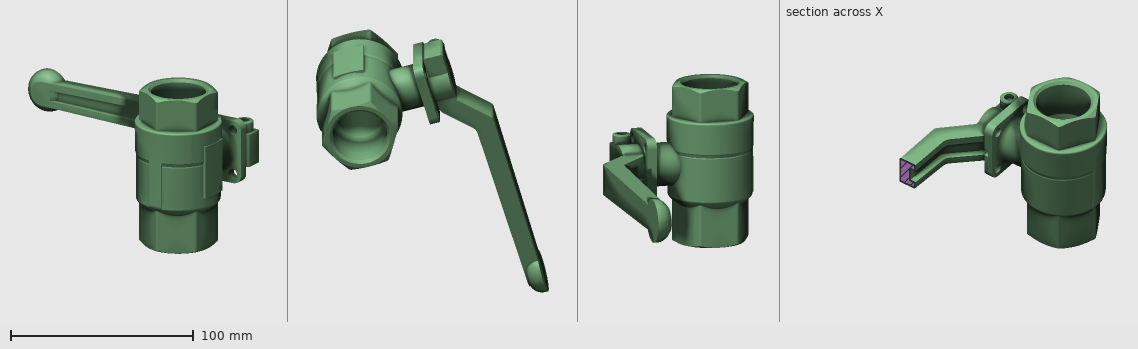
import cadquery as cq
import math


total_height = 89.0
half_height = total_height / 2
hex_across_flats = 38.0
hex_corner_radius = 2.0
hex_end_radius = 19.0
hex_chamfer_angle = 30.0

body_radius = 24.0
body_top_z = 26.5
body_top_round = 1.0
collar_bottom_radius = 23.7
collar_bottom_z = 9.0
barrel_radius = 23.25
barrel_top_z = 6.4
barrel_bottom_z = -18.4
barrel_round = 1.5
waist_top_radius = 23.45
waist_bottom_radius = 23.05
waist_bevel_height = 0.6

strip_width = 8.0
strip_foot_round = 2.5
pad_crown_x = 24.0
pad_edge_x = 23.3
pad_width = 17.0
pad_height = 30.0
pad_center_z = 2.7

bore_diameter = 25.0
thread_diameter = 30.29
thread_depth = 22.0
thread_mouth_diameter = 33.25
thread_end_angle = 30.0

neck_diameter = 24.0
flange_width = 36.0
flange_bottom_y = 35.2
flange_top_y = 40.5
flange_corner_radius = 5.0
flange_fillet = 2.5
bolt_circle_diameter = 36.0
bolt_hole_diameter = 5.5
notch_width = 4.5
notch_height = 2.4
notch_depth = 3.0

hub_diameter = 24.0
hub_bottom_y = 41.2
hub_top_y = 52.0
spacer_diameter = 23.5
clamp_end_x = 19.3
clamp_half_thickness = 9.4
clamp_chamfer = 0.8
screw_x = 12.9
screw_head_diameter = 10.0
screw_head_height = 6.0
screw_head_chamfer = 0.5
socket_diameter = 5.5
socket_depth = 3.0
socket_tip_depth = 1.6

lever_top_y = 68.3
knob_x = -128.0
knob_diameter = 24.0
knob_bottom_y = 59.2
knob_round = 7.5
bend_x = -30.6
bend_y = 57.6
slope_thickness = 10.6
lever_half_width_at_knob = 6.92
lever_half_width_at_hub = 9.0
under_bend_radius = 6.0
upper_bend_radius = 2.5
heel_radius = 7.5
pocket_start_x = -122.2
web_thickness = 6.8
pocket_half_width_at_knob = 2.92
pocket_half_width_at_hub = 4.9


def cylinder_along_y(diameter, start_y, end_y):
    """Solid cylinder around the stem axis."""
    base = cq.Workplane("XZ", origin=(0, start_y, 0))
    return base.circle(diameter / 2).extrude(start_y - end_y)


def hex_bar():
    """Full-height hexagon with flats facing +X and -X and chamfered ends."""
    across_corners = hex_across_flats / math.cos(math.radians(30))
    bar = (
        cq.Workplane("XY", origin=(0, 0, -half_height))
        .polygon(6, across_corners)
        .extrude(total_height)
        .rotate((0, 0, 0), (0, 0, 1), 30)
        .edges("|Z")
        .fillet(hex_corner_radius)
    )
    envelope_radius = across_corners / 2
    chamfer_drop = (envelope_radius - hex_end_radius) * math.tan(math.radians(hex_chamfer_angle))
    envelope = (
        cq.Workplane("XZ")
        .moveTo(0, -half_height)
        .lineTo(hex_end_radius, -half_height)
        .lineTo(envelope_radius, -half_height + chamfer_drop)
        .lineTo(envelope_radius, half_height - chamfer_drop)
        .lineTo(hex_end_radius, half_height)
        .lineTo(0, half_height)
        .close()
        .revolve(360, (0, 0, 0), (0, 1, 0))
    )
    return bar.intersect(envelope)


def barrel():
    """Lower cylinder with a 45 degree cone below it and a tapered waist above it."""
    return (
        cq.Workplane("XZ")
        .moveTo(0, barrel_bottom_z - barrel_radius)
        .lineTo(barrel_radius, barrel_bottom_z)
        .lineTo(barrel_radius, barrel_top_z)
        .lineTo(waist_bottom_radius, barrel_top_z + waist_bevel_height)
        .lineTo(waist_top_radius, collar_bottom_z - waist_bevel_height)
        .lineTo(collar_bottom_radius, collar_bottom_z)
        .lineTo(0, collar_bottom_z)
        .close()
        .revolve(360, (0, 0, 0), (0, 1, 0))
        .edges(cq.NearestToPointSelector((0, 0, barrel_bottom_z)))
        .fillet(barrel_round)
    )


def collar_and_strip():
    """Slightly hollow outer skin: a full ring above the waist and a strip down the -Y side."""
    foot_z = barrel_bottom_z + body_radius - barrel_radius
    skin = (
        cq.Workplane("XZ")
        .moveTo(0, foot_z - body_radius)
        .lineTo(body_radius, foot_z)
        .threePointArc((collar_bottom_radius, collar_bottom_z), (body_radius, body_top_z - body_top_round))
        .radiusArc((body_radius - body_top_round, body_top_z), -body_top_round)
        .lineTo(0, body_top_z)
        .close()
        .revolve(360, (0, 0, 0), (0, 1, 0))
        .edges(cq.NearestToPointSelector((0, 0, foot_z)))
        .fillet(strip_foot_round)
    )
    ring = cq.Workplane("XY", origin=(0, 0, collar_bottom_z)).circle(2 * body_radius).extrude(total_height)
    band = cq.Workplane("XY").box(strip_width, total_height, total_height)
    return skin.intersect(ring.union(band.translate((0, -half_height, 0))))


def side_pad():
    """Pad on the +X side with a gently crowned outer face."""
    half_width = pad_width / 2
    return (
        cq.Workplane("XY", origin=(0, 0, pad_center_z - pad_height / 2))
        .moveTo(0, -half_width)
        .lineTo(pad_edge_x, -half_width)
        .threePointArc((pad_crown_x, 0), (pad_edge_x, half_width))
        .lineTo(0, half_width)
        .close()
        .extrude(pad_height)
    )


def bore():
    """Through bore with a threaded socket at each end."""
    bore_radius = bore_diameter / 2
    thread_radius = thread_diameter / 2
    mouth_radius = thread_mouth_diameter / 2
    mouth_z = half_height - (mouth_radius - thread_radius)
    shoulder_height = (thread_radius - bore_radius) * math.tan(math.radians(thread_end_angle))
    thread_z = half_height - thread_depth
    half = (
        cq.Workplane("XZ")
        .lineTo(bore_radius, 0)
        .lineTo(bore_radius, thread_z - shoulder_height)
        .lineTo(thread_radius, thread_z)
        .lineTo(thread_radius, mouth_z)
        .lineTo(mouth_radius, half_height)
        .lineTo(0, half_height)
        .close()
        .revolve(360, (0, 0, 0), (0, 1, 0))
    )
    return half.union(half.mirror("XY"))


def flange():
    """Square mounting flange with rounded corners, four holes and a stop notch."""
    thickness = flange_top_y - flange_bottom_y
    hole_spacing = bolt_circle_diameter / math.sqrt(2)
    plate = (
        cq.Workplane("XZ", origin=(0, flange_bottom_y, 0))
        .rect(flange_width, flange_width)
        .extrude(-thickness)
        .edges("|Y")
        .fillet(flange_corner_radius)
    )
    holes = (
        cq.Workplane("XZ", origin=(0, flange_bottom_y, 0))
        .rect(hole_spacing, hole_spacing, forConstruction=True)
        .vertices()
        .circle(bolt_hole_diameter / 2)
        .extrude(-thickness)
    )
    notch = cq.Workplane("XY").box(notch_depth, notch_height, notch_width, centered=(False, False, True))
    notch = notch.translate((-flange_width / 2, flange_top_y - notch_height, 0))
    root_radius = neck_diameter / 2
    root = (
        cq.Workplane("XY")
        .moveTo(0, flange_bottom_y - flange_fillet)
        .lineTo(root_radius, flange_bottom_y - flange_fillet)
        .radiusArc((root_radius + flange_fillet, flange_bottom_y), flange_fillet)
        .lineTo(0, flange_bottom_y)
        .close()
        .revolve(360, (0, 0, 0), (0, 1, 0))
    )
    return plate.union(root).cut(holes).cut(notch)


def clamp():
    """Clamp block on the +X side of the hub with its socket head screw."""
    screw_y = (hub_bottom_y + hub_top_y) / 2
    block = (
        cq.Workplane("XY", origin=(0, 0, -clamp_half_thickness))
        .moveTo(0, hub_bottom_y)
        .lineTo(clamp_end_x, hub_bottom_y)
        .lineTo(clamp_end_x, hub_top_y)
        .lineTo(0, hub_top_y)
        .close()
        .extrude(2 * clamp_half_thickness)
        .edges("|Z and >X")
        .chamfer(clamp_chamfer)
    )
    head_top_z = clamp_half_thickness + screw_head_height
    head = (
        cq.Workplane("XY", origin=(screw_x, screw_y, clamp_half_thickness))
        .circle(screw_head_diameter / 2)
        .extrude(screw_head_height)
        .faces(">Z")
        .edges()
        .chamfer(screw_head_chamfer)
    )
    socket = (
        cq.Workplane("XZ")
        .lineTo(socket_diameter / 2, 0)
        .lineTo(socket_diameter / 2, -socket_depth)
        .lineTo(0, -socket_depth - socket_tip_depth)
        .close()
        .revolve(360, (0, 0, 0), (0, 1, 0))
        .translate((screw_x, screw_y, head_top_z))
    )
    return block.union(head).cut(socket)


def tapered_plan(half_width_at_knob, half_width_at_hub):
    """Tall block, narrower at the knob, that limits the lever or its pocket in Z."""
    height = lever_top_y - hub_bottom_y
    return (
        cq.Workplane("XZ", origin=(0, hub_bottom_y, 0))
        .moveTo(knob_x, -half_width_at_knob)
        .lineTo(0, -half_width_at_hub)
        .lineTo(0, half_width_at_hub)
        .lineTo(knob_x, half_width_at_knob)
        .close()
        .extrude(-height)
    )


def lever():
    """Cranked lever with a channel along its underside."""
    half_thickness = hub_diameter / 2
    lower_sum = bend_x + bend_y
    upper_sum = lower_sum + slope_thickness * math.sqrt(2)
    heel_x = lower_sum - hub_bottom_y
    end_x = knob_x - lever_half_width_at_knob
    upper_bend_x = upper_sum - lever_top_y
    bar = (
        cq.Workplane("XY", origin=(0, 0, -half_thickness))
        .moveTo(end_x, lever_top_y)
        .lineTo(end_x, knob_bottom_y)
        .lineTo(bend_x, bend_y)
        .lineTo(heel_x, hub_bottom_y)
        .lineTo(0, hub_bottom_y)
        .lineTo(0, hub_top_y)
        .lineTo(upper_sum - hub_top_y, hub_top_y)
        .lineTo(upper_bend_x, lever_top_y)
        .close()
        .extrude(2 * half_thickness)
    )
    bar = bar.edges(cq.NearestToPointSelector((bend_x, bend_y, 0))).fillet(under_bend_radius)
    bar = bar.edges(cq.NearestToPointSelector((heel_x, hub_bottom_y, 0))).fillet(heel_radius)
    bar = bar.edges(cq.NearestToPointSelector((upper_bend_x, lever_top_y, 0))).fillet(upper_bend_radius)

    plan = tapered_plan(lever_half_width_at_knob, lever_half_width_at_hub)
    rounded_end = cylinder_along_y(2 * lever_half_width_at_knob, hub_bottom_y, lever_top_y)
    plan = plan.union(rounded_end.translate((knob_x, 0, 0)))

    floor_y = lever_top_y - web_thickness
    floor_sum = upper_sum - web_thickness * math.sqrt(2)
    channel = (
        cq.Workplane("XY", origin=(0, 0, -half_thickness))
        .moveTo(pocket_start_x, hub_bottom_y)
        .lineTo(pocket_start_x, floor_y)
        .lineTo(floor_sum - floor_y, floor_y)
        .lineTo(floor_sum - hub_bottom_y, hub_bottom_y)
        .close()
        .extrude(2 * half_thickness)
    )
    channel = channel.edges(
        cq.NearestToPointSelector((floor_sum - floor_y, floor_y, 0))
    ).fillet(under_bend_radius)
    channel_plan = tapered_plan(pocket_half_width_at_knob, pocket_half_width_at_hub)
    return bar.intersect(plan).cut(channel.intersect(channel_plan))


def knob():
    """Round thumb knob at the free end of the lever."""
    radius = knob_diameter / 2
    return (
        cq.Workplane("XY")
        .moveTo(0, knob_bottom_y)
        .lineTo(radius - knob_round, knob_bottom_y)
        .radiusArc((radius, knob_bottom_y + knob_round), -knob_round)
        .lineTo(radius, lever_top_y)
        .lineTo(0, lever_top_y)
        .close()
        .revolve(360, (0, 0, 0), (0, 1, 0))
        .translate((knob_x, 0, 0))
    )


body = barrel().union(collar_and_strip()).union(side_pad()).union(hex_bar())
neck = cylinder_along_y(neck_diameter, 0, flange_bottom_y)
spacer = cylinder_along_y(spacer_diameter, flange_top_y, hub_bottom_y)
hub = cylinder_along_y(hub_diameter, hub_bottom_y, hub_top_y)

result = body.union(neck).cut(bore())
for piece in (flange(), spacer, hub, clamp(), lever(), knob()):
    result = result.union(piece)